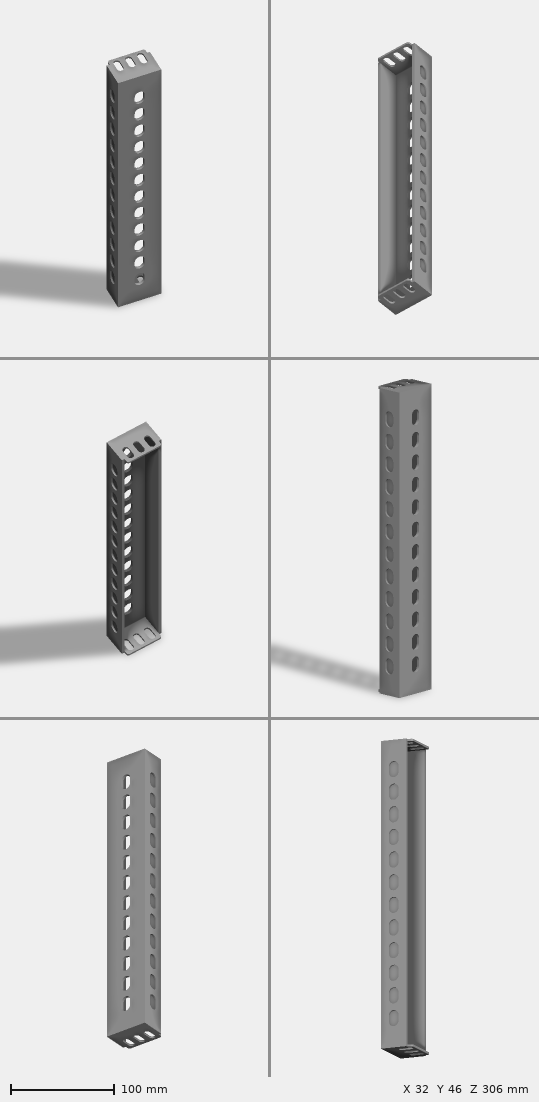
import cadquery as cq

depth = 32.0
width = 46.0
height = 306.0
wall = 3.0
flange = 2.0
bend_radius = 1.0

tab_reach = 5.5
tab_width = 39.8
tab_corner_radius = 2.5

row_count = 12
row_span = 247.5
row_pitch = row_span / (row_count - 1)
row_slot_length = 16.0
row_slot_width = 10.5

recess_depth = 2.0

flange_slot_count = 3
flange_slot_pitch = 12.5
flange_slot_length = 15.0
flange_slot_width = 6.7
flange_slot_margin = 2.8

body_depth = depth - tab_reach
side_center_x = tab_reach + body_depth / 2
flange_slot_center_x = flange_slot_margin + flange_slot_length / 2


def make_channel():
    """Block hollowed from -X, with rounded inner bends along the back wall."""
    block = cq.Workplane("XY").box(body_depth, width, height).translate((side_center_x, 0, 0))
    cavity_depth = depth - wall
    cavity = (
        cq.Workplane("XY")
        .box(cavity_depth, width - 2 * wall, height - 2 * flange)
        .faces(">X")
        .edges("|Y")
        .fillet(bend_radius)
        .translate((cavity_depth / 2, 0, 0))
    )
    return block.cut(cavity)


def make_tabs():
    """Tabs that carry the two end flanges forward of the side walls."""
    tab_length = tab_reach + wall
    tab = (
        cq.Workplane("XY")
        .box(tab_length, tab_width, flange)
        .edges("|Z and <X")
        .fillet(tab_corner_radius)
        .translate((tab_length / 2, 0, 0))
    )
    offset = (height - flange) / 2
    return tab.translate((0, 0, offset)).union(tab.translate((0, 0, -offset)))


def make_slot_row(plane, origin, cut_depth):
    """Row of upright slot cutters extruded along the plane's normal."""
    return (
        cq.Workplane(plane, origin=origin)
        .rarray(3, row_pitch, 1, row_count)
        .slot2D(row_slot_length, row_slot_width, 90)
        .extrude(cut_depth)
    )


def make_side_recesses():
    """Blind slots sunk into the outer faces of both side walls."""
    recess_floor = (side_center_x, recess_depth - width / 2, 0)
    row = make_slot_row("XZ", recess_floor, recess_depth)
    return row.union(row.mirror("XZ"))


def make_flange_slots():
    """Cutters run the full height, so they pierce both end flanges in line."""
    return (
        cq.Workplane("XY", origin=(flange_slot_center_x, 0, -height / 2))
        .rarray(3, flange_slot_pitch, 1, flange_slot_count)
        .slot2D(flange_slot_length, flange_slot_width)
        .extrude(height)
    )


result = (
    make_channel()
    .union(make_tabs())
    .cut(make_slot_row("YZ", (depth - wall, 0, 0), wall))
    .cut(make_side_recesses())
    .cut(make_flange_slots())
)